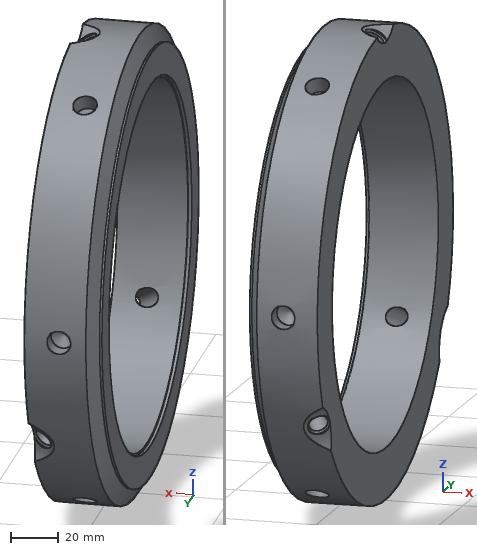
import cadquery as cq
import math

width = 32.0
outer_diameter = 205.0
face_diameter = 190.0
bore_diameter = 160.0
recess_diameter = 162.0
recess_depth = 1.5
rim_length = 1.0
chamfer_angle = 30.0

spanner_hole_count = 6
spanner_start_angle = 180 / spanner_hole_count
spanner_hole_diameter = 10.2
spanner_hole_depth = 8.0
spanner_hole_x = 17.0
drill_point_angle = 118.0

screw_count = 3
screw_start_angle = 0.0
screw_tilt = 30.0
screw_bore_x = 16.8
screw_core_diameter = 8.38
screw_mouth_diameter = 10.0
hollow_radius = 20.0
hollow_floor_radius = 99.15

outer_radius = outer_diameter / 2
bore_radius = bore_diameter / 2


def make_ring():
    """Revolve the ring section, with a chamfered rim and a shallow recess at the front of the bore."""
    face_radius = face_diameter / 2
    recess_radius = recess_diameter / 2
    chamfer_length = (outer_radius - face_radius) * math.tan(math.radians(chamfer_angle))
    chamfer_end = rim_length + chamfer_length
    section = [
        (0, recess_radius),
        (0, face_radius),
        (rim_length, face_radius),
        (chamfer_end, outer_radius),
        (width, outer_radius),
        (width, bore_radius),
        (recess_depth, bore_radius),
        (recess_depth, recess_radius),
    ]
    return cq.Workplane("XY").polyline(section).close().revolve(360, (0, 0, 0), (1, 0, 0))


def revolve_tool(half_section):
    """Revolve a (radius, height) half section about the Z axis."""
    return cq.Workplane("XZ").polyline(half_section).close().revolve(360, (0, 0, 0), (0, 1, 0))


def make_spanner_hole():
    """Drill pointing at the ring axis from +Z, with a conical tip."""
    radius = spanner_hole_diameter / 2
    shoulder = outer_radius - spanner_hole_depth
    tip = shoulder - radius / math.tan(math.radians(drill_point_angle / 2))
    top = outer_radius + spanner_hole_diameter
    tool = revolve_tool([(0, tip), (radius, shoulder), (radius, top), (0, top)])
    return tool.translate((spanner_hole_x, 0, 0))


def make_screw_hole():
    """Screw hole with a chamfered mouth at the bottom of a cylindrical hollow, tilted to the rear."""
    core = screw_core_diameter / 2
    mouth = screw_mouth_diameter / 2
    floor = (hollow_floor_radius - bore_radius) / math.cos(math.radians(screw_tilt))
    chamfer_start = floor - (mouth - core)
    below_bore = -screw_core_diameter
    hollow_axis = floor + hollow_radius
    hole = revolve_tool([
        (0, below_bore),
        (core, below_bore),
        (core, chamfer_start),
        (mouth, floor),
        (mouth, hollow_axis),
        (0, hollow_axis),
    ])
    hollow = cq.Workplane("YZ").center(0, hollow_axis).circle(hollow_radius).extrude(width, both=True)
    tool = hole.union(hollow).rotate((0, 0, 0), (0, 1, 0), screw_tilt)
    return tool.translate((screw_bore_x, 0, bore_radius))


def cut_around(body, tool, count, start_angle):
    """Cut equally spaced copies of a tool around the ring axis."""
    for index in range(count):
        angle = start_angle + index * 360 / count
        body = body.cut(tool.rotate((0, 0, 0), (1, 0, 0), angle))
    return body


result = make_ring()
result = cut_around(result, make_spanner_hole(), spanner_hole_count, spanner_start_angle)
result = cut_around(result, make_screw_hole(), screw_count, screw_start_angle)